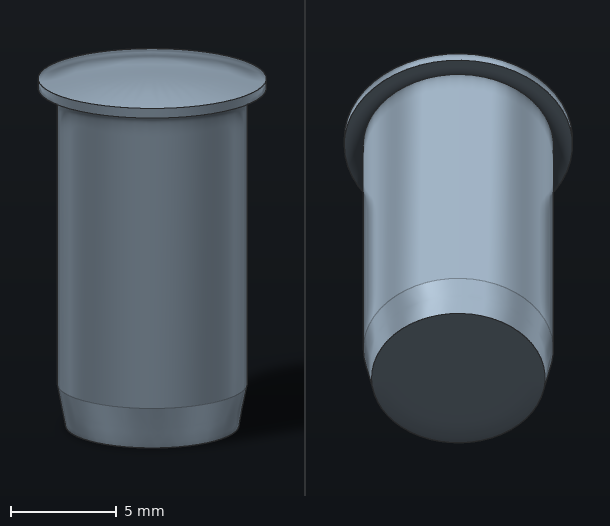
import cadquery as cq

total_height = 17.5
head_diameter = 10.8
body_diameter = 9.0
tip_diameter = 8.2
tip_height = 2.05
dome_height = 0.5
rim_thickness = 0.47

head_radius = head_diameter / 2
body_radius = body_diameter / 2
tip_radius = tip_diameter / 2
rim_top = total_height - dome_height
rim_bottom = rim_top - rim_thickness

dome_radius = (head_radius**2 + dome_height**2) / (2 * dome_height)
dome_mid_x = head_radius / 2
dome_mid_z = total_height - dome_radius + (dome_radius**2 - dome_mid_x**2) ** 0.5

result = (
    cq.Workplane("XZ")
    .lineTo(tip_radius, 0)
    .lineTo(body_radius, tip_height)
    .lineTo(body_radius, rim_bottom)
    .lineTo(head_radius, rim_bottom)
    .lineTo(head_radius, rim_top)
    .threePointArc((dome_mid_x, dome_mid_z), (0, total_height))
    .close()
    .revolve(360, (0, 0, 0), (0, 1, 0))
)